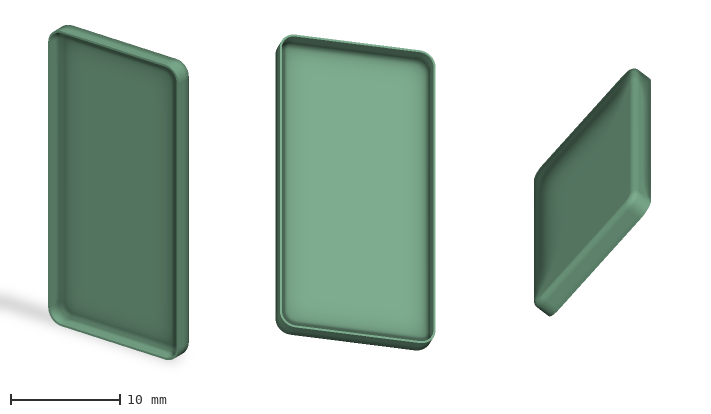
import cadquery as cq

width = 14.8
depth = 2.0
height = 30.0

wall = 0.2
corner_radius = 1.5
back_edge_radius = 0.6


def rounded_tray_block(inset):
    """Solid block with round corners and a round back edge, inset from the outer faces."""
    block = (
        cq.Workplane("XY")
        .box(width - 2 * inset, depth, height - 2 * inset)
        .edges("|Y")
        .fillet(corner_radius - inset)
    )
    return block.faces(">Y").edges().fillet(back_edge_radius - inset)


outer_body = rounded_tray_block(0)
cavity = rounded_tray_block(wall).translate((0, -wall, 0))

result = outer_body.cut(cavity)